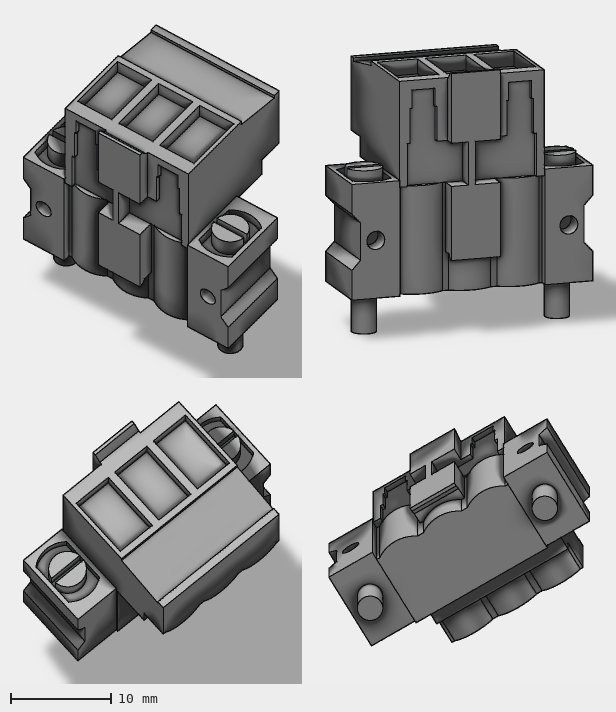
import cadquery as cq
import math


pitch = 5.07
poles = 3
housing_width = poles * pitch
pole_xs = [(i - (poles - 1) / 2) * pitch for i in range(poles)]
flange_width = 5.05
screw_x = (housing_width + flange_width) / 2
screw_xs = [-screw_x, screw_x]

front_y = -3.62
lower_front_y = -2.95
lower_back_y = 4.72
slope_start_y = 5.32
step_y = 8.75
lip_y = 10.85
back_y = 11.68
top_z = 22.02
slope_high_z = 21.55
slope_low_z = 20.67
lip_top_z = 21.02
front_wall_bottom_z = 11.15
overhang_z = 11.39
back_bottom_z = 13.44

well_width = 4.2
well_front_y = -2.1
well_back_y = 4.61
well_depth = 1.55

recess_depth = 0.5
recess_top_z = 21.02
recess_step_z = 19.15
recess_shoulder_z = 15.57
recess_top_width = 2.43
recess_middle_width = 2.8
recess_outer_x = 6.77
rib_left_x = -0.78
rib_right_x = -0.05

tab_width = 5.13
tab_front_y = -4.9
tab_top_z = 22.72
tab_bottom_z = 3.53
tab_underside_z = 4.02
tab_edge_thickness = 0.35

barrel_chord = 4.4
barrel_bulge = 0.67
entry_radius = 2.8
entry_bottom_z = 12.35

flange_front_y = -3.8
flange_back_y = 4.5
flange_height = 11.87
notch_depth = 0.92
notch_outer_half = 2.9
notch_inner_half = 1.92
cross_hole_radius = 0.93
cross_hole_depth = 2.15
head_pocket_radius = 3.2
head_pocket_width = 4.05
head_pocket_depth = 1.08

head_radius = 1.9
head_top_z = 12.65
shank_radius = 1.27
shank_bottom_z = tab_top_z - 26.98
slot_width = 0.6
slot_depth = 1.35


def box(x0, x1, y0, y1, z0, z1):
    """Axis-aligned block between two corners."""
    return cq.Workplane("XY").box(x1 - x0, y1 - y0, z1 - z0, centered=False).translate((x0, y0, z0))


def cylinder(radius, x, z0, z1):
    """Upright cylinder on a screw axis."""
    return cq.Workplane("XY", origin=(x, 0, z0)).circle(radius).extrude(z1 - z0)


def side_profile(points, width):
    """Outline of (y, z) points extruded symmetrically about X = 0."""
    return cq.Workplane("YZ").polyline(points).close().extrude(width / 2, both=True)


def housing_block():
    return side_profile(
        [
            (lower_front_y, 0),
            (lower_front_y, front_wall_bottom_z),
            (front_y, front_wall_bottom_z),
            (front_y, top_z),
            (slope_start_y, top_z),
            (slope_start_y, slope_high_z),
            (lip_y, slope_low_z),
            (lip_y, lip_top_z),
            (back_y, lip_top_z),
            (back_y, back_bottom_z),
            (step_y, back_bottom_z),
            (step_y, overhang_z),
            (lower_back_y, overhang_z),
            (lower_back_y, 0),
        ],
        housing_width,
    )


def well(x):
    half = well_width / 2
    return box(x - half, x + half, well_front_y, well_back_y, top_z - well_depth, top_z)


def front_recess(x, outer_x, rib_x):
    """Wide slot open at the bottom of the front wall, with a narrower stepped slot above it."""
    floor_y = front_y + recess_depth
    left_x = min(outer_x, rib_x)
    right_x = max(outer_x, rib_x)
    base = box(left_x, right_x, front_y, floor_y, front_wall_bottom_z, recess_shoulder_z)
    half = recess_middle_width / 2
    middle = box(x - half, x + half, front_y, floor_y, recess_shoulder_z, recess_step_z)
    half = recess_top_width / 2
    top = box(x - half, x + half, front_y, floor_y, recess_step_z, recess_top_z)
    return base.union(middle).union(top)


def latch_tab():
    """Tab with a hooked upper and lower end, narrowed to a thin rib between the recesses."""
    hook_y = tab_front_y + tab_edge_thickness
    top_rise = tab_top_z - top_z
    bottom_drop = tab_underside_z - tab_bottom_z
    tab = side_profile(
        [
            (lower_front_y, tab_underside_z),
            (hook_y + bottom_drop, tab_underside_z),
            (hook_y, tab_bottom_z),
            (tab_front_y, tab_bottom_z),
            (tab_front_y, tab_top_z),
            (hook_y, tab_top_z),
            (hook_y + top_rise, top_z),
            (lower_front_y, top_z),
        ],
        tab_width,
    )
    half = tab_width / 2
    floor_y = front_y + recess_depth
    for x0, x1 in [(-half, rib_left_x), (rib_right_x, half)]:
        tab = tab.cut(box(x0, x1, tab_front_y, floor_y, front_wall_bottom_z, recess_shoulder_z))
    return tab


def socket_barrel(x):
    half = barrel_chord / 2
    return (
        cq.Workplane("XY")
        .moveTo(x - half, lower_front_y)
        .threePointArc((x, lower_front_y - barrel_bulge), (x + half, lower_front_y))
        .close()
        .extrude(front_wall_bottom_z)
    )


def wire_entry(x):
    """Part of a horizontal cylinder that hangs below the back of the housing."""
    rise = back_bottom_z - entry_bottom_z
    half = math.sqrt(entry_radius**2 - (entry_radius - rise) ** 2)
    return (
        cq.Workplane("XZ", origin=(0, back_y, 0))
        .moveTo(x - half, back_bottom_z)
        .threePointArc((x, entry_bottom_z), (x + half, back_bottom_z))
        .close()
        .extrude(back_y - step_y)
    )


def make_housing():
    body = housing_block()
    body = body.cut(front_recess(-pitch, -recess_outer_x, rib_left_x))
    body = body.cut(front_recess(pitch, recess_outer_x, rib_right_x))
    body = body.union(latch_tab())
    for x in pole_xs:
        body = body.union(socket_barrel(x)).union(wire_entry(x)).cut(well(x))
    return body


def make_flange(x):
    """Flange block with an outer side notch, a screw pocket and hole, and a blind cross hole."""
    half = flange_width / 2
    middle_z = flange_height / 2
    outward = math.copysign(1, x)
    outer_x = x + outward * half
    notch_x = outer_x - outward * notch_depth
    body = box(x - half, x + half, flange_front_y, flange_back_y, 0, flange_height)
    notch = (
        cq.Workplane("XZ", origin=(0, flange_back_y, 0))
        .moveTo(outer_x, middle_z - notch_outer_half)
        .lineTo(notch_x, middle_z - notch_inner_half)
        .lineTo(notch_x, middle_z + notch_inner_half)
        .lineTo(outer_x, middle_z + notch_outer_half)
        .close()
        .extrude(flange_back_y - flange_front_y)
    )
    pocket_floor_z = flange_height - head_pocket_depth
    pocket_half = head_pocket_width / 2
    pocket = cylinder(head_pocket_radius, x, pocket_floor_z, flange_height).intersect(
        box(
            x - pocket_half,
            x + pocket_half,
            -head_pocket_radius,
            head_pocket_radius,
            pocket_floor_z,
            flange_height,
        )
    )
    cross_hole = (
        cq.Workplane("XZ", origin=(x, flange_front_y, middle_z))
        .circle(cross_hole_radius)
        .extrude(-cross_hole_depth)
    )
    screw_hole = cylinder(shank_radius, x, 0, pocket_floor_z)
    return body.cut(notch).cut(pocket).cut(screw_hole).cut(cross_hole)


def make_screw(x):
    """Slotted screw whose head rests on the pocket floor."""
    head_bottom_z = flange_height - head_pocket_depth
    head = cylinder(head_radius, x, head_bottom_z, head_top_z)
    shank = cylinder(shank_radius, x, shank_bottom_z, head_bottom_z)
    half = slot_width / 2
    slot = box(x - head_radius, x + head_radius, -half, half, head_top_z - slot_depth, head_top_z)
    return head.cut(slot).union(shank)


housing = make_housing()
flanges = [make_flange(x) for x in screw_xs]
screws = [make_screw(x) for x in screw_xs]

result = cq.Compound.makeCompound(
    [
        housing.val(),
        *[flange.val() for flange in flanges],
        *[screw.val() for screw in screws],
    ]
)